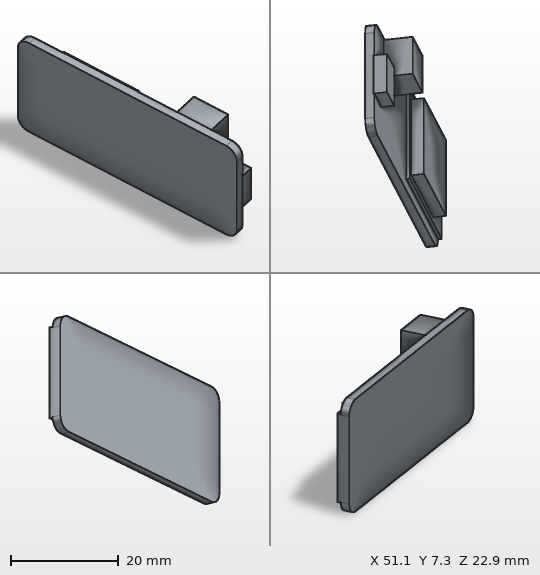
import cadquery as cq

total_length = 51.1
total_depth = 7.3

connector_overhang = 0.15
board_length = total_length - connector_overhang
board_height = 22.85
board_thickness = 1.8
board_corner_radius = 2.55

carrier_length = 25.45
carrier_height = 18.05
carrier_back = 2.5
can_left = 6.9
can_length = 17.65
can_height = 15.85
can_back = 4.95

block_left = 35.45
block_length = 8.0
block_height = 7.7
block_top_inset = 0.4
block_center_z = board_height / 2 - block_top_inset - block_height / 2

connector_length = 5.65
connector_height = 7.95
connector_back = 4.25
connector_sink = 0.15


def component(left, length, front, back, height, center_z=0.0):
    """Box spanning front to back in Y, starting at left in X, centred on center_z."""
    return (
        cq.Workplane("XY")
        .box(length, back - front, height, centered=(False, False, True))
        .translate((left, front, center_z))
    )


board = component(0, board_length, 0, board_thickness, board_height)
board = board.edges("|Y").fillet(board_corner_radius)

carrier = component(0, carrier_length, board_thickness, carrier_back, carrier_height)
can = component(can_left, can_length, carrier_back, can_back, can_height)
block = component(
    block_left, block_length, board_thickness, total_depth, block_height, block_center_z
)
connector = component(
    total_length - connector_length,
    connector_length,
    board_thickness - connector_sink,
    connector_back,
    connector_height,
)

result = board.union(carrier).union(can).union(block).union(connector)